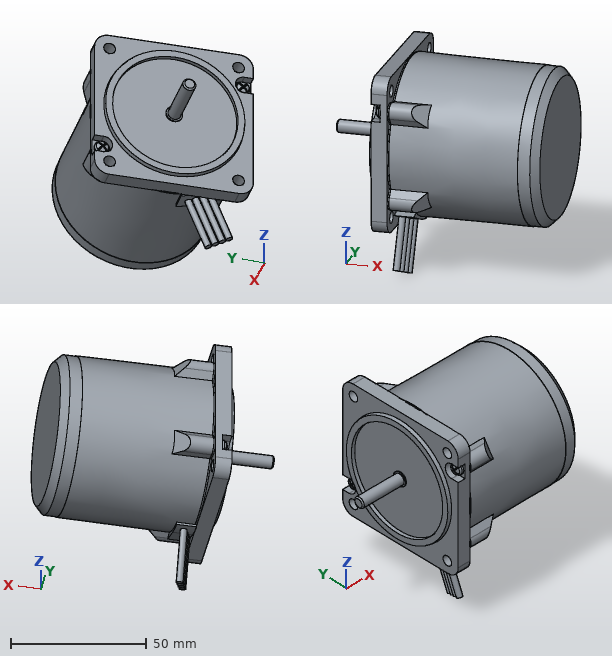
import cadquery as cq
import math


pilot_front = 20.1
flange_front = 21.85
flange_back = 28.0
foot_back = 28.6
cap_front = 78.3
motor_back = 86.0

shaft_radius = 2.5
shaft_chamfer = 0.6
shaft_collar_radius = 3.2
shaft_collar_height = 0.5

flange_side = 61.0
flange_corner_radius = 5.5
mount_hole_offset = 24.8
mount_hole_radius = 2.2
pilot_radius = 27.0
pilot_taper = 0.3
recess_radius = 24.1
recess_depth = 1.7

foot_inset = 0.2
barrel_front_radius = flange_side / 2
barrel_back_radius = 30.2
cap_radius = 30.0
cap_chamfer = 3.0

screw_y = 27.0
screw_z = 17.55
screw_slot_radius = 3.35
screw_slot_depth = 3.5
screw_head_radius = 2.8
screw_rim_height = 0.9
screw_shoulder_radius = 2.3
screw_shoulder_height = 1.7
screw_head_height = 2.4
cross_length = 4.1
cross_width = 0.4
cross_depth = 1.0
boss_radius = 3.4
boss_flare_angle = 20.0
boss_back = 43.3
boss_root_radius = 29.75
boss_inner_radius = 25.8
boss_center_radius = math.hypot(screw_y, screw_z)

lead_angle = 22.5
outlet_radius = 31.5
outlet_side_y = -4.5
outlet_flat_length = 9.9
outlet_end_y = -18.1
outlet_end_z = -24.5
outlet_back = 35.6
wire_count = 4
wire_radius = 1.3
wire_pitch = 2.7
wire_step_x = 0.9
wire_first_x = 29.6
wire_end_distance = 51.5
wire_root_distance = 27.5


def disc(x_start, x_end, radius, y=0, z=0):
    """Cylinder along X between two stations."""
    return cq.Workplane("YZ", origin=(x_start, y, z)).circle(radius).extrude(x_end - x_start)


def radial_point(radius, angle):
    """(y, z) of a point at an angle measured from -Z toward -Y."""
    return (-radius * math.sin(math.radians(angle)), -radius * math.cos(math.radians(angle)))


def make_flange():
    return (
        cq.Workplane("YZ", origin=(flange_front, 0, 0))
        .rect(flange_side, flange_side)
        .extrude(flange_back - flange_front)
        .edges("|X")
        .fillet(flange_corner_radius)
    )


def make_turned_body():
    """Shaft, recessed pilot, barrel and end cap as one turned profile."""
    recess_floor = pilot_front + recess_depth
    shaft_collar_front = recess_floor - shaft_collar_height
    profile = [
        (0, 0),
        (0, shaft_radius - shaft_chamfer),
        (shaft_chamfer, shaft_radius),
        (shaft_collar_front, shaft_radius),
        (shaft_collar_front, shaft_collar_radius),
        (recess_floor, shaft_collar_radius),
        (recess_floor, recess_radius),
        (pilot_front, recess_radius),
        (pilot_front, pilot_radius - pilot_taper),
        (flange_front, pilot_radius),
        (flange_back, pilot_radius),
        (flange_back, barrel_front_radius - foot_inset),
        (foot_back, barrel_front_radius - foot_inset),
        (foot_back, barrel_front_radius),
        (cap_front, barrel_back_radius),
        (cap_front, cap_radius),
        (motor_back - cap_chamfer, cap_radius),
        (motor_back, cap_radius - cap_chamfer),
        (motor_back, 0),
    ]
    return cq.Workplane("XZ").polyline(profile).close().revolve(360, (0, 0, 0), (1, 0, 0))


def boss_prism(radius, x_start, x_end):
    """Prism along X, round on the outside and flared toward the motor axis.

    Its section lies in local axes: y outward from the motor axis through the screw, z across the boss.
    """
    flare = math.radians(boss_flare_angle)
    tangent_y = boss_center_radius + radius * math.sin(flare)
    tangent_z = radius * math.cos(flare)
    root_z = tangent_z + (tangent_y - boss_inner_radius) * math.tan(flare)
    return (
        cq.Workplane("YZ", origin=(x_start, 0, 0))
        .moveTo(boss_inner_radius, -root_z)
        .lineTo(tangent_y, -tangent_z)
        .threePointArc((boss_center_radius + radius, 0), (tangent_y, tangent_z))
        .lineTo(boss_inner_radius, root_z)
        .close()
        .extrude(x_end - x_start)
    )


def make_boss():
    """Boss at -Y, +Z with a slightly inset foot and a 45 degree sloping back."""
    outer_radius = boss_center_radius + boss_radius
    inner_back = boss_back + boss_root_radius - boss_inner_radius
    outer_back = boss_back + boss_root_radius - outer_radius
    slope_cutter = (
        cq.Workplane("XY")
        .moveTo(inner_back, boss_inner_radius)
        .lineTo(outer_back, outer_radius)
        .lineTo(inner_back, outer_radius)
        .close()
        .extrude(2 * boss_radius, both=True)
    )
    foot = boss_prism(boss_radius - foot_inset, flange_back, foot_back)
    boss = boss_prism(boss_radius, foot_back, inner_back).cut(slope_cutter).union(foot)
    boss_tilt = math.degrees(math.atan2(screw_z, -screw_y))
    return boss.rotate((0, 0, 0), (1, 0, 0), boss_tilt)


def make_screw_slot():
    """Round-ended slot at -Y, +Z, open to the side of the flange."""
    slot_length = flange_side / 2 - screw_y
    round_end = disc(flange_front, flange_front + screw_slot_depth, screw_slot_radius, -screw_y, screw_z)
    open_end = cq.Workplane("XY").box(
        screw_slot_depth, slot_length, 2 * screw_slot_radius, centered=(False, False, True)
    )
    return round_end.union(open_end.translate((flange_front, -flange_side / 2, screw_z)))


def make_screw_head():
    """Domed head with a cross recess, seated on the slot floor at -Y, +Z."""
    seat = flange_front + screw_slot_depth
    top = seat - screw_head_height
    dome_rise = screw_head_height - screw_shoulder_height
    dome_radius = (screw_shoulder_radius**2 + dome_rise**2) / (2 * dome_rise)
    dome_mid_radius = screw_shoulder_radius / 2
    dome_mid_x = top + dome_radius - math.sqrt(dome_radius**2 - dome_mid_radius**2)
    head = (
        cq.Workplane("XY")
        .moveTo(seat, 0)
        .lineTo(seat, screw_head_radius)
        .lineTo(seat - screw_rim_height, screw_head_radius)
        .lineTo(seat - screw_shoulder_height, screw_shoulder_radius)
        .threePointArc((dome_mid_x, dome_mid_radius), (top, 0))
        .close()
        .revolve(360, (0, 0, 0), (1, 0, 0))
    )
    for arm_angle in (45, 135):
        arm = cq.Workplane("XY").box(cross_depth, cross_length, cross_width, centered=(False, True, True))
        head = head.cut(arm.translate((top, 0, 0)).rotate((0, 0, 0), (1, 0, 0), arm_angle))
    return head.translate((0, -screw_y, screw_z))


def make_lead_outlet():
    """Outlet block: an outer arc that runs on as a flat square to the wires."""
    arc_start_angle = math.degrees(math.asin(-outlet_side_y / outlet_radius))
    arc_start = radial_point(outlet_radius, arc_start_angle)
    arc_middle = radial_point(outlet_radius, (arc_start_angle + lead_angle) / 2)
    arc_end = radial_point(outlet_radius, lead_angle)
    lean = math.radians(lead_angle)
    flat_end = (
        arc_end[0] - outlet_flat_length * math.cos(lean),
        arc_end[1] + outlet_flat_length * math.sin(lean),
    )
    return (
        cq.Workplane("YZ", origin=(flange_back, 0, 0))
        .moveTo(outlet_side_y, outlet_end_z)
        .lineTo(*arc_start)
        .threePointArc(arc_middle, arc_end)
        .lineTo(*flat_end)
        .lineTo(outlet_end_y, outlet_end_z)
        .close()
        .extrude(outlet_back - flange_back)
    )


def make_wires():
    """Row of wires, drawn straight down and then leaned; each sits further back toward +Y."""
    wires = cq.Workplane("XY")
    for index in range(wire_count):
        across = (index - (wire_count - 1) / 2) * wire_pitch
        wires = wires.union(
            cq.Workplane("XY", origin=(wire_first_x + index * wire_step_x, across, -wire_end_distance))
            .circle(wire_radius)
            .extrude(wire_end_distance - wire_root_distance)
        )
    return wires.rotate((0, 0, 0), (1, 0, 0), -lead_angle)


motor = make_flange().union(make_turned_body())

boss = make_boss()
boss_pair = boss.union(boss.mirror("XY"))
motor = motor.union(boss_pair).union(boss_pair.mirror("XZ"))

for hole_y in (-mount_hole_offset, mount_hole_offset):
    for hole_z in (-mount_hole_offset, mount_hole_offset):
        motor = motor.cut(disc(flange_front, flange_back, mount_hole_radius, hole_y, hole_z))

for turn in (0, 180):
    motor = motor.cut(make_screw_slot().rotate((0, 0, 0), (1, 0, 0), turn))
    motor = motor.union(make_screw_head().rotate((0, 0, 0), (1, 0, 0), turn))

result = motor.union(make_lead_outlet()).union(make_wires())